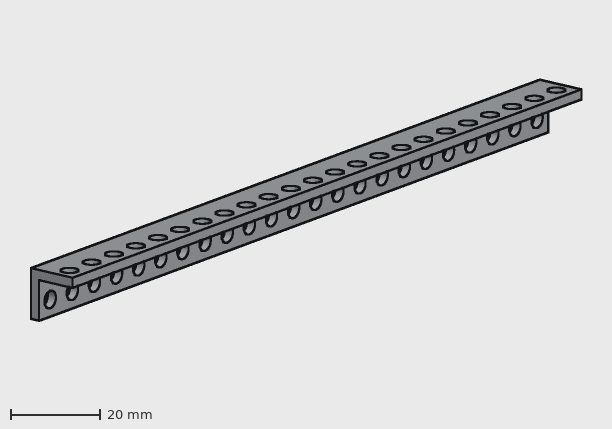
import cadquery as cq

length = 184.0
leg_width = 12.0
thickness = 2.4
hole_count = 23
hole_diameter = 4.0
hole_from_corner = 8.0

hole_pitch = length / hole_count
hole_positions = [(i + 0.5) * hole_pitch - length / 2 for i in range(hole_count)]

angle = (
    cq.Workplane("XZ", origin=(0, length / 2, 0))
    .moveTo(0, 0)
    .lineTo(leg_width, 0)
    .lineTo(leg_width, -thickness)
    .lineTo(thickness, -thickness)
    .lineTo(thickness, -leg_width)
    .lineTo(0, -leg_width)
    .close()
    .extrude(length)
)

top_holes = (
    cq.Workplane("XY")
    .pushPoints([(hole_from_corner, y) for y in hole_positions])
    .circle(hole_diameter / 2)
    .extrude(-thickness)
)

side_holes = (
    cq.Workplane("YZ")
    .pushPoints([(y, -hole_from_corner) for y in hole_positions])
    .circle(hole_diameter / 2)
    .extrude(thickness)
)

result = angle.cut(top_holes).cut(side_holes)